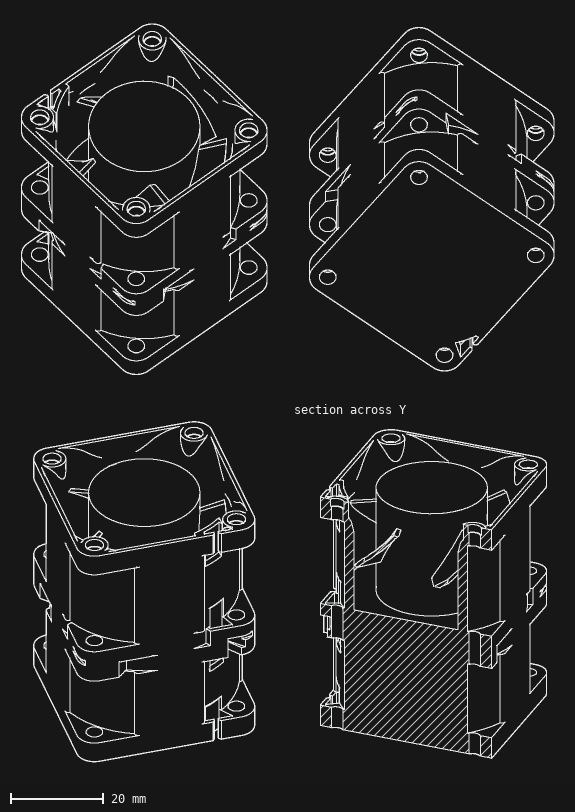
import cadquery as cq
import math

height = 56.0
width = 40.0
half = width / 2
corner_radius = 4.0

flange = 5.1
middle_bottom = 21.95
joint = 26.05
middle_top = 29.95
top_bottom = height - flange

barrel_radius = 20.65
flat_half = 7.05
edge_round = 0.85

wall = 0.9
inner_half = half - wall
bore_radius = inner_half
intake_floor = middle_top
bore_top = 48.85
flare_rings = [(19.5, 51.3), (20.55, 53.75)]
mouth_radius = 23.45

hub_radius = 12.05
hub_top = 55.0
blade_count = 5
blade_top = 49.95
blade_height = 10.65
blade_sections = 5
tip_twist = 40.2
root_twist = 32.1
blade_tip = 17.75
blade_root = hub_radius - 0.55
lead_tip_angle = 122.6
lead_root_angle = 113.5
tip_thickness_angle = 4.3
root_thickness_angle = 5.8

hole_offset = half - corner_radius
hole_radius = 1.8
counterbore_radius = 1.95
counterbore_depth = 1.85
boss_radius = 2.95

end_sector = (20.05, 203.4, 217.2)
middle_sector = (20.3, 206.7, 219.6)
passage_wall = 0.95
passage_end_y = -14.2
rib_start_y = -5.9
rib_end_y = -12.6
rib_inner_x = -14.55
end_notch_length = 3.85
end_notch_slope = 0.9
upper_notch_length = 5.15
upper_notch_slope = 0.55
lower_notch_length = 4.2
lower_notch_slope = 1.1
slit_y = -10.5
slit_width = 0.95
slit_mouth = 1.9
slit_chamfer = 0.45

outlet_edge_y = -12.95
outlet_inner_x = -15.95
outlet_step = 23.95
outlet_upper_y = -16.95
outlet_lower_y = -15.95

lower_latch_edge = -11.7
lower_latch_corner = -9.35
lower_latch_radius = 20.2
upper_latch_corner = 8.35
upper_latch_edge = 8.95
upper_latch_top = 30.2

mark_bottom = 25.8
mark_top = 27.05
mark_start = 13.0

clear = 2.8


def prism(points, bottom, top):
    """Extrude a closed XY polygon between two levels."""
    return cq.Workplane("XY").workplane(offset=bottom).polyline(points).close().extrude(top - bottom)


def cylinder(radius, bottom, top):
    return cq.Workplane("XY").workplane(offset=bottom).circle(radius).extrude(top - bottom)


def square(side, bottom, top):
    return cq.Workplane("XY").workplane(offset=bottom).rect(side, side).extrude(top - bottom)


def quarter_turns(solid):
    """The solid and its three copies at 90 degree steps about Z."""
    copies = solid
    for turn in range(1, 4):
        copies = copies.union(solid.rotate((0, 0, 0), (0, 0, 1), 90 * turn))
    return copies


def chord_depth(radius, across):
    """Distance from the axis to a circle, at a sideways offset."""
    return math.sqrt(radius**2 - across**2)


def polar(radius, angle):
    a = math.radians(angle)
    return (radius * math.cos(a), radius * math.sin(a))


def bay_cutter(bottom, top):
    """Corner space outside the barrel at (+X, +Y), with rounded edges where the flat sides end."""
    outer = half + clear
    inner = flat_half + edge_round
    seat = half - edge_round
    on_barrel = chord_depth(barrel_radius, inner)
    bend = edge_round * math.sqrt(0.5)
    middle = barrel_radius * math.sqrt(0.5)
    return (
        cq.Workplane("XY").workplane(offset=bottom)
        .moveTo(outer, flat_half).lineTo(half, flat_half)
        .threePointArc((seat + bend, flat_half + bend), (seat, inner))
        .lineTo(on_barrel, inner)
        .threePointArc((middle, middle), (inner, on_barrel))
        .lineTo(inner, seat)
        .threePointArc((flat_half + bend, seat + bend), (flat_half, half))
        .lineTo(flat_half, outer).lineTo(outer, outer).close()
        .extrude(top - bottom)
    )


def housing():
    body = square(width, 0, height).edges("|Z").fillet(corner_radius)
    for bottom, top in ((flange, middle_bottom), (middle_top, top_bottom)):
        body = body.cut(quarter_turns(bay_cutter(bottom, top)))
    return body


def corner_posts(radius, bottom, top):
    post = cylinder(radius, bottom, top).translate((hole_offset, hole_offset, 0))
    return quarter_turns(post)


def intake_cutter():
    """Flared bore, limited by the thin square rim and kept clear of the screw bosses and wire rib."""
    lower_ring, upper_ring = flare_rings
    profile = (
        cq.Workplane("XZ")
        .moveTo(0, intake_floor).lineTo(bore_radius, intake_floor).lineTo(bore_radius, bore_top)
        .lineTo(*lower_ring).lineTo(*upper_ring)
        .tangentArcPoint((mouth_radius, height), relative=False)
        .lineTo(0, height).close()
    )
    mouth = profile.revolve(360, (0, 0, 0), (0, 1, 0))
    mouth = mouth.intersect(square(2 * inner_half, intake_floor, height))
    rib_outline = [
        (-half, rib_start_y), (rib_inner_x, rib_start_y),
        (rib_inner_x, rib_end_y), (-half, rib_end_y),
    ]
    rib = prism(rib_outline, bore_top, height).cut(cylinder(bore_radius, bore_top, height))
    return mouth.cut(corner_posts(boss_radius, bore_top, height)).cut(rib)


def rotor():
    hub = cylinder(hub_radius, intake_floor, hub_top)
    blade_bottom = blade_top - blade_height
    blade = cq.Workplane("XY").workplane(offset=blade_bottom)
    for i in range(blade_sections):
        if i > 0:
            blade = blade.workplane(offset=blade_height / (blade_sections - 1))
        drop = 1 - i / (blade_sections - 1)
        tip_angle = lead_tip_angle - tip_twist * drop
        root_angle = lead_root_angle - root_twist * drop
        section = [
            polar(blade_tip, tip_angle),
            polar(blade_root, root_angle),
            polar(blade_root, root_angle - root_thickness_angle),
            polar(blade_tip, tip_angle - tip_thickness_angle),
        ]
        blade = blade.polyline(section).close()
    blade = blade.loft(combine=True)
    for i in range(blade_count):
        hub = hub.union(blade.rotate((0, 0, 0), (0, 0, 1), i * 360 / blade_count))
    return hub


def passage_cutter(sector, bottom, top):
    """Wire hole between the side wall, the barrel and the screw boss."""
    radius, start_angle, end_angle = sector
    start = polar(radius, start_angle)
    middle = polar(radius, (start_angle + end_angle) / 2)
    wall_x = passage_wall - half
    return (
        cq.Workplane("XY").workplane(offset=bottom)
        .moveTo(wall_x, start[1]).lineTo(*start)
        .threePointArc(middle, polar(radius, end_angle))
        .lineTo(wall_x, passage_end_y).close()
        .extrude(top - bottom)
    )


def barrel_notch(sector, mouth_z, length, slope):
    """Notch in the barrel running from a flange; its far end slopes out to the surface.

    A negative length and slope run downwards."""
    radius, start_angle, end_angle = sector
    far = mouth_z + length
    outline = [(radius, mouth_z), (radius, far - slope), (barrel_radius, far), (barrel_radius, mouth_z)]
    ring = cq.Workplane("XZ").polyline(outline).close()
    arc = ring.revolve(end_angle - start_angle, (0, 0, 0), (0, -1, 0))
    return arc.rotate((0, 0, 0), (0, 0, 1), end_angle)


def slit_cutter(bottom, top):
    """Narrow vertical slit through the side wall into the wire hole, chamfered outside."""
    narrow = slit_width / 2
    wide = slit_mouth / 2
    inner_x = passage_wall - half + slit_chamfer
    chamfer_x = slit_chamfer - half
    outline = [
        (-half, slit_y + wide), (chamfer_x, slit_y + narrow), (inner_x, slit_y + narrow),
        (inner_x, slit_y - narrow), (chamfer_x, slit_y - narrow), (-half, slit_y - wide),
    ]
    return prism(outline, bottom, top)


def cable_outlet():
    """Wedges at the (-X, -Y) corner that let the cable leave the middle flange."""
    outside = -half - clear

    def wedge(end_y, bottom, top):
        outline = [
            (outside, outlet_edge_y), (outlet_inner_x, outlet_edge_y),
            (-half, end_y), (outside, end_y),
        ]
        return prism(outline, bottom, top)

    upper = wedge(outlet_upper_y, outlet_step, mark_top)
    return upper.union(wedge(outlet_lower_y, middle_bottom, outlet_step))


def wire_features():
    cutters = passage_cutter(middle_sector, middle_bottom, middle_top)
    for bottom, top in ((0, flange), (top_bottom, height)):
        cutters = cutters.union(passage_cutter(end_sector, bottom, top))
        cutters = cutters.union(slit_cutter(bottom, top))
    notches = (
        (end_sector, top_bottom, -end_notch_length, -end_notch_slope),
        (middle_sector, middle_top, upper_notch_length, upper_notch_slope),
        (middle_sector, middle_bottom, -lower_notch_length, -lower_notch_slope),
        (end_sector, flange, end_notch_length, end_notch_slope),
    )
    for notch in notches:
        cutters = cutters.union(barrel_notch(*notch))
    return cutters.union(cable_outlet())


def latch_cutters():
    """Two recesses in the -Y side, backed by arcs about the fan axis."""
    outside = -half - clear

    def recess(edge, corner, radius, bottom, top):
        surface_x = math.copysign(chord_depth(radius, half), edge)
        middle_x = (corner + surface_x) / 2
        return (
            cq.Workplane("XY").workplane(offset=bottom)
            .moveTo(edge, outside).lineTo(edge, -half)
            .lineTo(corner, -chord_depth(radius, corner))
            .threePointArc((middle_x, -chord_depth(radius, middle_x)), (surface_x, -half))
            .lineTo(surface_x, outside).close()
            .extrude(top - bottom)
        )

    lower = recess(lower_latch_edge, lower_latch_corner, lower_latch_radius, middle_bottom, joint)
    upper = recess(upper_latch_edge, upper_latch_corner, barrel_radius, joint, upper_latch_top)
    return lower.union(upper)


def corner_mark():
    """Thin slice off the -Y side that ends halfway round the (+X, -Y) corner."""
    corner_mid = hole_offset + corner_radius * math.sqrt(0.5)
    outside = -half - clear
    outline = [
        (mark_start, -half), (corner_mid, -corner_mid),
        (corner_mid, outside), (mark_start, outside),
    ]
    return prism(outline, mark_bottom, mark_top)


result = housing()
result = result.cut(intake_cutter()).union(rotor())
result = result.cut(corner_posts(hole_radius, 0, height))
result = result.cut(corner_posts(counterbore_radius, height - counterbore_depth, height))
result = result.cut(wire_features())
result = result.cut(quarter_turns(latch_cutters().union(corner_mark())))